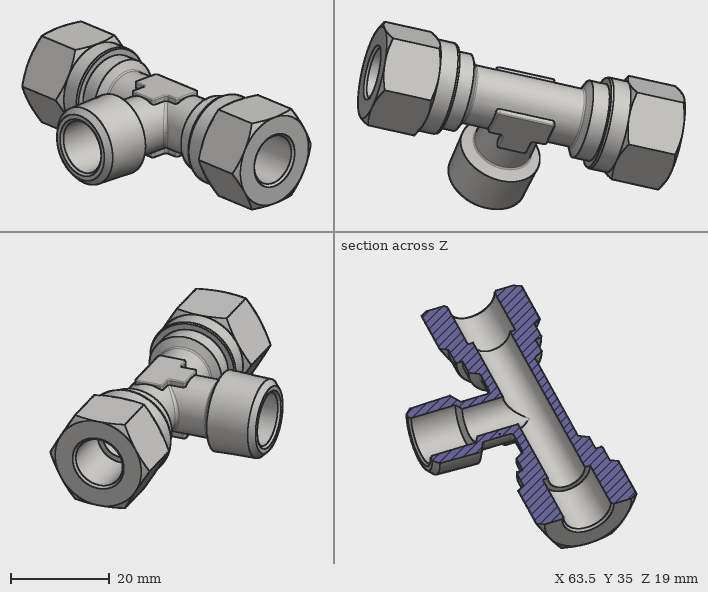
import cadquery as cq
import math


run_half_length = 31.75
nut_across_flats = 19.0
nut_corner_radius = nut_across_flats / math.sqrt(3)
nut_hex_length = 11.55
collar_radius = 9.45
collar_length = 4.05
collar_chamfer_length = 0.45
collar_chamfer_height = 0.2

ring_radius = 8.0
ring_length = 3.4
pipe_radius = 6.05
pipe_blend_radius = 0.45
crotch_radius = 0.65

cone_angle = 30.0
cone_slope = math.tan(math.radians(cone_angle))

bore_radius = 4.0
socket_radius = 5.15
socket_depth = nut_hex_length
mouth_chamfer = 0.5

overall_depth = 34.95
branch_length = overall_depth - nut_corner_radius
shoulder_distance = 13.85
thread_large_radius = 8.45
thread_small_radius = 8.2
thread_end_chamfer = 1.2
seat_radius = 5.5
seat_depth = branch_length - shoulder_distance

pad_top = 6.5
pad_bar_width = 12.4
pad_bar_depth = 6.1
pad_stem_width = 6.2
pad_stem_reach = 6.8
pad_corner_radius = 0.6
pad_edge_radius = 0.25

nut_inner_face = run_half_length - nut_hex_length
collar_inner_face = nut_inner_face - collar_length
ring_inner_face = collar_inner_face - ring_length


def revolve_about_x(profile):
    """Turn an outline of (distance from the crossing, radius) points about the X axis."""
    return cq.Workplane("XY").polyline(profile).close().revolve(360, (0, 0, 0), (1, 0, 0))


def aim_at_branch(shape):
    """Swing a shape built along +X round to the branch direction -Y."""
    return shape.rotate((0, 0, 0), (0, 0, 1), -90)


def both_ends(end):
    """Join a feature at the +X end with its mirror image at the -X end."""
    return end.union(end.mirror("YZ"))


def make_flare(wide_distance, wide_radius):
    """Cone along +X that widens from the pipe, meeting it in a small round blend."""
    cone_start = wide_distance - (wide_radius - pipe_radius) * cone_slope
    turn = math.pi / 2 - math.radians(cone_angle)
    tangent_length = pipe_blend_radius * math.tan(turn / 2)
    blend_start = (cone_start - tangent_length, pipe_radius)
    blend_end = (
        cone_start + tangent_length * math.cos(turn),
        pipe_radius + tangent_length * math.sin(turn),
    )
    return (
        cq.Workplane("XY")
        .moveTo(blend_start[0], 0)
        .lineTo(*blend_start)
        .radiusArc(blend_end, -pipe_blend_radius)
        .lineTo(wide_distance, wide_radius)
        .lineTo(wide_distance, 0)
        .close()
        .revolve(360, (0, 0, 0), (1, 0, 0))
    )


def make_pipes():
    """Crossing pipes with a rounded crotch, flared at all three ends."""
    run_pipe = cq.Workplane("YZ").circle(pipe_radius).extrude(ring_inner_face, both=True)
    branch_pipe = aim_at_branch(cq.Workplane("YZ").circle(pipe_radius).extrude(shoulder_distance))
    pipes = run_pipe.union(branch_pipe).edges("%ELLIPSE").fillet(crotch_radius)
    run_flares = both_ends(make_flare(ring_inner_face, ring_radius))
    branch_flare = aim_at_branch(make_flare(shoulder_distance, thread_large_radius))
    return pipes.union(run_flares).union(branch_flare)


def make_nut():
    """Hexagon with both rims chamfered, plus its round collar and the ring behind it."""
    flat_radius = nut_across_flats / 2
    hex_chamfer_length = (nut_corner_radius - flat_radius) * cone_slope
    hexagon = (
        cq.Workplane("YZ", origin=(nut_inner_face, 0, 0))
        .polygon(6, 2 * nut_corner_radius)
        .extrude(nut_hex_length)
    )
    rim = revolve_about_x([
        (nut_inner_face, 0),
        (nut_inner_face, flat_radius),
        (nut_inner_face + hex_chamfer_length, nut_corner_radius),
        (run_half_length - hex_chamfer_length, nut_corner_radius),
        (run_half_length, flat_radius),
        (run_half_length, 0),
    ])
    collar = revolve_about_x([
        (ring_inner_face, 0),
        (ring_inner_face, ring_radius),
        (collar_inner_face, ring_radius),
        (collar_inner_face, collar_radius - collar_chamfer_height),
        (collar_inner_face + collar_chamfer_length, collar_radius),
        (nut_inner_face, collar_radius),
        (nut_inner_face, 0),
    ])
    return hexagon.intersect(rim).union(collar)


def make_thread_body():
    """Slightly tapered, unthreaded blank with a chamfered end."""
    profile = [
        (shoulder_distance, 0),
        (shoulder_distance, thread_large_radius),
        (branch_length - thread_end_chamfer, thread_small_radius),
        (branch_length, thread_small_radius - thread_end_chamfer),
        (branch_length, 0),
    ]
    return aim_at_branch(revolve_about_x(profile))


def make_pads():
    """One T-shaped block through the crossing that shows as a pad above and below."""
    bar = cq.Workplane("XY").box(pad_bar_width, pad_bar_depth, 2 * pad_top)
    stem = cq.Workplane("XY", origin=(0, -pad_stem_reach / 2, 0)).box(pad_stem_width, pad_stem_reach, 2 * pad_top)
    block = bar.union(stem).edges("|Z").fillet(pad_corner_radius)
    return block.faces("|Z").edges().fillet(pad_edge_radius)


def make_run_bore():
    """Through bore with a tube socket and a chamfered mouth at each end."""
    bore = cq.Workplane("YZ").circle(bore_radius).extrude(run_half_length, both=True)
    socket = revolve_about_x([
        (run_half_length - socket_depth, 0),
        (run_half_length - socket_depth, socket_radius),
        (run_half_length - mouth_chamfer, socket_radius),
        (run_half_length, socket_radius + mouth_chamfer),
        (run_half_length, 0),
    ])
    return bore.union(both_ends(socket))


def make_branch_bore():
    """Bore down to the run axis, opening through a cone into a wider seat with a chamfered mouth."""
    seat_floor = branch_length - seat_depth
    profile = [
        (0, 0),
        (0, bore_radius),
        (seat_floor - (seat_radius - bore_radius) * cone_slope, bore_radius),
        (seat_floor, seat_radius),
        (branch_length - mouth_chamfer, seat_radius),
        (branch_length, seat_radius + mouth_chamfer),
        (branch_length, 0),
    ]
    return aim_at_branch(revolve_about_x(profile))


body = make_pipes().union(make_pads()).union(both_ends(make_nut())).union(make_thread_body())
result = body.cut(make_run_bore()).cut(make_branch_bore())